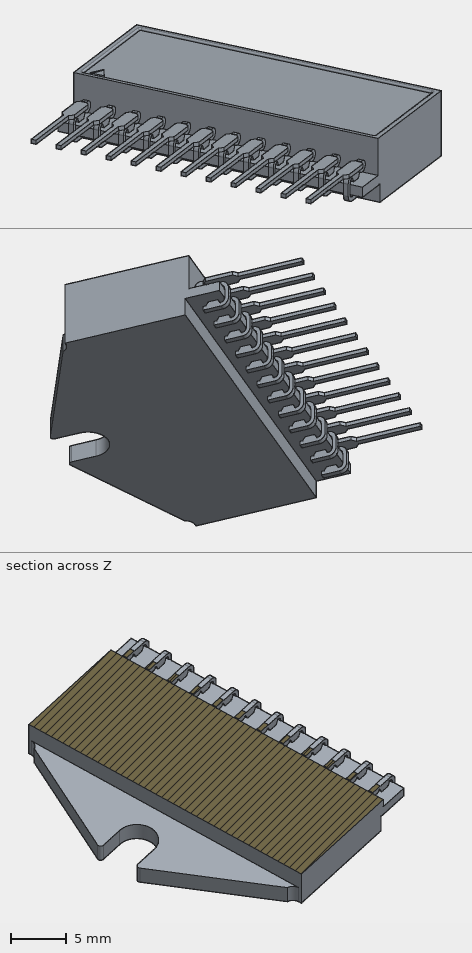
import cadquery as cq
import math


width = 31.0
height = 6.42
body_back = 12.03
base_front = 0.35
base_height = 1.8

ledge_top = 2.8
ledge_reach = 2.98

rim_margin_x = 0.62
rim_margin_y = 0.53
recess_depth = 0.22
recess_corner_radius = 0.12
rim_radius = 0.2

mark_place = -13.67
mark_front = 1.1
mark_width = 1.45
mark_length = 1.25
mark_depth = 0.1

tab_back = 18.85
tab_half_width = 14.38
tab_slope = math.radians(27.2)
tip_radius = 0.3
foot_reach = 0.9
slot_width = 3.9
slot_depth = 4.65

lead_count = 12
lead_pitch = 2.55
lead_width = 0.5
lead_tip = -10.45
strip = 0.4
pad_width = 1.27
pad_back = -0.87
pad_front = -4.28

upper_gap = 0.45
lower_gap = 0.37
clip_overlap = 0.05
clip_arm_end = -0.87
clip_bend_radius = 0.3
pin_gap = 0.15
bead_place = -0.62
bead_radius = 0.55
contact_place = -1.83
contact_root = 1.35
contact_face = 0.93


def make_body():
    profile = [
        (base_front, 0),
        (body_back, 0),
        (body_back, height),
        (0, height),
        (0, ledge_top),
        (-ledge_reach, ledge_top),
        (-ledge_reach, base_height),
        (base_front, base_height),
    ]
    return cq.Workplane("YZ").polyline(profile).close().extrude(width / 2, both=True)


def make_recess():
    """Shallow pocket in the top face, before its rim is rounded."""
    length = width - 2 * rim_margin_x
    depth = body_back - 2 * rim_margin_y
    floor = height - recess_depth
    return (
        cq.Workplane("XY", origin=(0, body_back / 2, floor))
        .rect(length, depth)
        .extrude(recess_depth)
        .edges("|Z")
        .fillet(recess_corner_radius)
    )


def make_mark():
    floor = height - recess_depth
    return (
        cq.Workplane("XY", origin=(mark_place, mark_front, floor - mark_depth))
        .moveTo(-mark_width / 2, 0)
        .lineTo(mark_width / 2, 0)
        .lineTo(0, mark_length)
        .close()
        .extrude(mark_depth)
    )


def cut_recess(body):
    """Sink the pocket and its mark, and round the pocket's rim into the top face."""
    rim = cq.selectors.BoxSelector(
        (-width / 2 + rim_margin_x / 2, rim_margin_y / 2, height - recess_depth / 4),
        (width / 2 - rim_margin_x / 2, body_back - rim_margin_y / 2, height + recess_depth / 4),
    )
    return body.cut(make_recess()).edges(rim).fillet(rim_radius).cut(make_mark())


def make_tab():
    """Sloping tab with a concave foot on each side and a round-ended screw slot."""
    slot_radius = slot_width / 2
    tip_half_angle = (math.pi / 2 - tab_slope) / 2
    apex = tab_back + tip_radius * (1 / math.tan(tip_half_angle) - 1)
    shoulder = apex - (tab_half_width - slot_radius) * math.tan(tab_slope)
    foot = tab_half_width + foot_reach
    slot_end = tab_back - slot_depth
    root = body_back / 2
    tab = (
        cq.Workplane("XY")
        .moveTo(-foot, root)
        .lineTo(-foot, body_back)
        .radiusArc((-tab_half_width, shoulder), -foot_reach)
        .lineTo(-slot_radius, apex)
        .lineTo(-slot_radius, slot_end + slot_radius)
        .threePointArc((0, slot_end), (slot_radius, slot_end + slot_radius))
        .lineTo(slot_radius, apex)
        .lineTo(tab_half_width, shoulder)
        .radiusArc((foot, body_back), -foot_reach)
        .lineTo(foot, root)
        .close()
        .extrude(base_height)
    )
    tips = cq.selectors.BoxSelector(
        (-slot_width, apex - tip_radius, 0), (slot_width, apex + tip_radius, height)
    )
    return tab.edges("|Z").edges(tips).fillet(tip_radius)


def make_contact(ledge_face, arm_face):
    """Tapered contact filling the gap between a clip arm and the ledge."""
    return (
        cq.Workplane("YZ")
        .moveTo(contact_place - contact_face / 2, ledge_face)
        .lineTo(contact_place + contact_face / 2, ledge_face)
        .lineTo(contact_place + contact_root / 2, arm_face)
        .lineTo(contact_place - contact_root / 2, arm_face)
        .close()
        .extrude(lead_width / 2, both=True)
    )


def make_lead():
    arm_bottom = ledge_top + upper_gap
    arm_top = arm_bottom + strip
    lead_bottom = arm_top + pin_gap
    lead_top = lead_bottom + strip
    low_top = base_height - lower_gap
    low_bottom = low_top - strip
    inner = clip_overlap - ledge_reach
    outer = inner - strip
    bend = inner + clip_bend_radius
    outer_bend_radius = clip_bend_radius + strip

    clip = (
        cq.Workplane("YZ")
        .moveTo(bead_place, arm_top)
        .lineTo(bead_place, arm_bottom)
        .lineTo(bend, arm_bottom)
        .radiusArc((inner, arm_bottom - clip_bend_radius), -clip_bend_radius)
        .lineTo(inner, low_top + clip_bend_radius)
        .radiusArc((bend, low_top), -clip_bend_radius)
        .lineTo(clip_arm_end, low_top)
        .lineTo(clip_arm_end, low_bottom)
        .lineTo(bend, low_bottom)
        .radiusArc((outer, low_bottom + outer_bend_radius), outer_bend_radius)
        .lineTo(outer, arm_top - outer_bend_radius)
        .radiusArc((bend, arm_top), outer_bend_radius)
        .close()
        .extrude(lead_width / 2, both=True)
    )
    bead = (
        cq.Workplane("YZ")
        .center(bead_place, lead_top - bead_radius)
        .circle(bead_radius)
        .extrude(lead_width / 2, both=True)
    )
    pin = (
        cq.Workplane("XY", origin=(0, (pad_back + lead_tip) / 2, lead_bottom))
        .rect(lead_width, pad_back - lead_tip)
        .extrude(strip)
    )
    pad = (
        cq.Workplane("XY", origin=(0, (pad_back + pad_front) / 2, lead_bottom))
        .rect(pad_width, pad_back - pad_front)
        .extrude(strip)
        .edges("|Z")
        .chamfer((pad_width - lead_width) / 2)
    )
    upper_contact = make_contact(ledge_top, arm_bottom)
    lower_contact = make_contact(base_height, low_top)
    return clip.union(bead).union(pin).union(pad).union(upper_contact).union(lower_contact)


result = cut_recess(make_body()).union(make_tab())

lead = make_lead()
for index in range(lead_count):
    place = (index - (lead_count - 1) / 2) * lead_pitch
    result = result.union(lead.translate((place, 0, 0)))